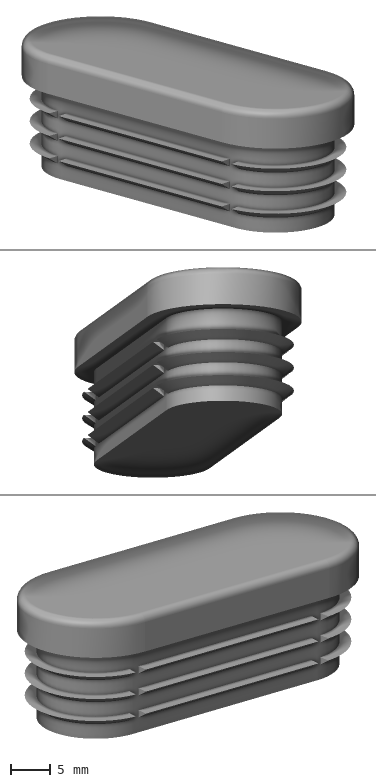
import cadquery as cq

length = 50.0
width = 20.0
height = 17.0
cap_thickness = 5.0
cap_edge_radius = 1.0

plug_inset = 2.5
plug_height = height - cap_thickness

rib_reach = 1.5
rib_height = 1.0
rib_pitch = 3.0
rib_count = 3
straight_rib_end_gap = 1.0
end_rib_gap_angle = 4.0

end_center_x = (length - width) / 2
plug_radius = width / 2 - plug_inset
straight_rib_length = 2 * (end_center_x - straight_rib_end_gap)
end_rib_sweep = 180.0 - 2 * end_rib_gap_angle
rib_root = plug_radius - 0.5


def rounded_slab(inset, bottom_z, thickness):
    """Slab with full-round ends, inset from the cap outline."""
    return (
        cq.Workplane("XY")
        .workplane(offset=bottom_z)
        .slot2D(length - 2 * inset, width - 2 * inset)
        .extrude(thickness)
    )


def rib_profile(plane, top_z):
    """Rib section; the local x axis points outward and local y is height."""
    return (
        cq.Workplane(plane)
        .moveTo(rib_root, top_z)
        .lineTo(plug_radius + rib_reach, top_z)
        .lineTo(plug_radius, top_z - rib_height)
        .lineTo(rib_root, top_z - rib_height)
        .close()
    )


def straight_rib(top_z):
    """Rib along the +Y flat side."""
    return rib_profile("YZ", top_z).extrude(straight_rib_length / 2, both=True)


def end_rib(top_z):
    """Rib around the +X rounded end, stopping short of the flat sides."""
    return (
        rib_profile("XZ", top_z)
        .revolve(end_rib_sweep, (0, 0, 0), (0, 1, 0))
        .rotate((0, 0, 0), (0, 0, 1), -end_rib_sweep / 2)
        .translate((end_center_x, 0, 0))
    )


cap = rounded_slab(0, plug_height, cap_thickness).faces(">Z").edges().fillet(cap_edge_radius)
result = cap.union(rounded_slab(plug_inset, 0, plug_height))

for level in range(1, rib_count + 1):
    rib_top = level * rib_pitch
    for rib in (straight_rib(rib_top), end_rib(rib_top)):
        result = result.union(rib)
        result = result.union(rib.rotate((0, 0, 0), (0, 0, 1), 180))